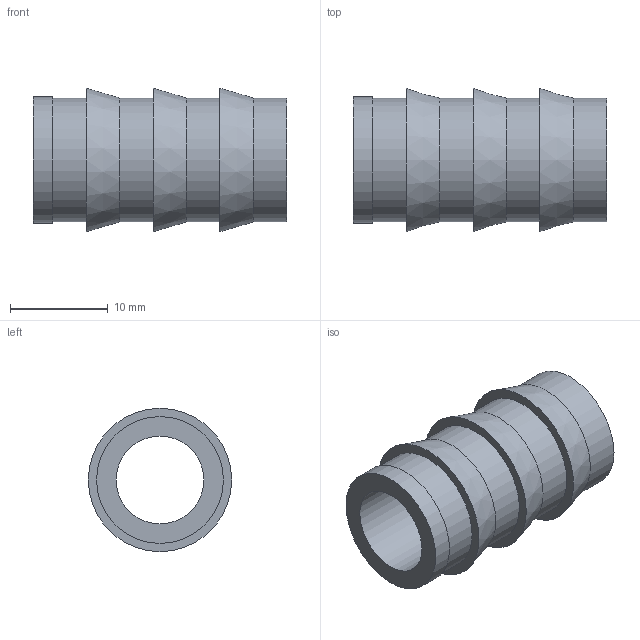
import cadquery as cq

total_length = 26.0
bore_diameter = 9.0
body_diameter = 12.7
collar_diameter = 13.0
collar_length = 2.0
barb_diameter = 14.7
barb_count = 3

section_length = (total_length - collar_length) / (2 * barb_count + 1)

bore_radius = bore_diameter / 2
body_radius = body_diameter / 2
collar_radius = collar_diameter / 2
barb_radius = barb_diameter / 2


def half_profile():
    """Closed outline of the tube wall, as (position along axis, radius)."""
    outline = (
        cq.Workplane("XZ")
        .moveTo(0, bore_radius)
        .lineTo(0, collar_radius)
        .lineTo(collar_length, collar_radius)
        .lineTo(collar_length, body_radius)
    )
    for index in range(barb_count):
        barb_start = collar_length + (2 * index + 1) * section_length
        outline = (
            outline.lineTo(barb_start, body_radius)
            .lineTo(barb_start, barb_radius)
            .lineTo(barb_start + section_length, body_radius)
        )
    return (
        outline.lineTo(total_length, body_radius)
        .lineTo(total_length, bore_radius)
        .close()
    )


result = half_profile().revolve(360, (0, 0, 0), (1, 0, 0))